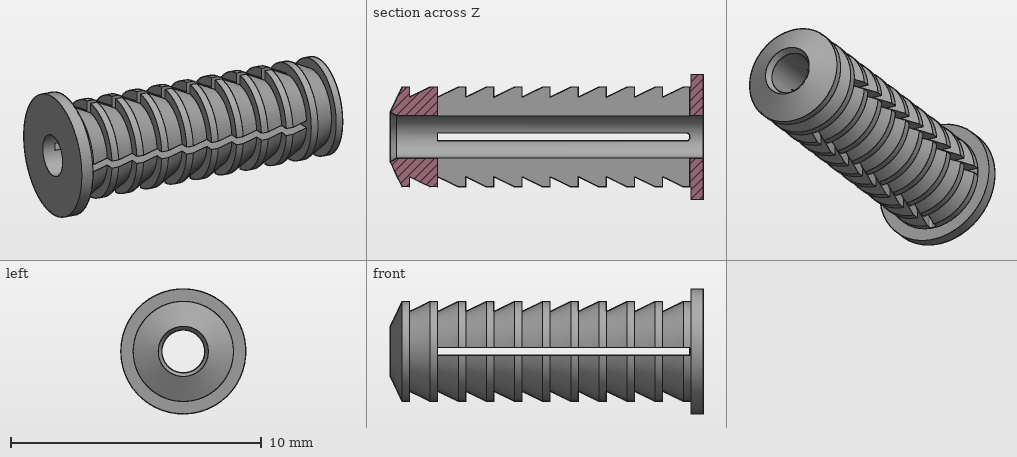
import cadquery as cq

length = 12.5
flange_radius = 2.5
flange_thickness = 0.5
barb_radius = 2.0

barb_count = 10
land_length = 0.3
root_radius = 1.6

nose_radius = 1.0
nose_cone_length = 0.48
bore_radius = 0.85
bore_chamfer_depth = 0.25

slot_width = 0.3
slot_end_gap = 0.05
slot_corner_radius = 0.1

nose_x = -length / 2
flange_end_x = length / 2
flange_x = flange_end_x - flange_thickness
nose_cone_end_x = nose_x + nose_cone_length
nose_land_end_x = nose_cone_end_x + land_length
barb_pitch = (flange_x - nose_land_end_x) / barb_count
slot_start_x = nose_land_end_x + barb_pitch
slot_end_x = flange_x - slot_end_gap


def revolve_about_x(points):
    """Turn a closed outline of (x, radius) points about the X axis."""
    return cq.Workplane("XY").polyline(points).close().revolve(360, (0, 0, 0), (1, 0, 0))


def make_body():
    """Nose cone, row of barbs and head flange as one turned solid."""
    outline = [
        (nose_x, 0),
        (nose_x, nose_radius),
        (nose_cone_end_x, barb_radius),
        (nose_land_end_x, barb_radius),
    ]
    for barb in range(barb_count):
        start_x = nose_land_end_x + barb * barb_pitch
        end_x = start_x + barb_pitch
        outline.append((start_x, root_radius))
        outline.append((end_x - land_length, barb_radius))
        outline.append((end_x, barb_radius))
    outline.append((flange_x, flange_radius))
    outline.append((flange_end_x, flange_radius))
    outline.append((flange_end_x, 0))
    return revolve_about_x(outline)


def make_bore():
    """Through bore with a chamfered mouth at the nose."""
    return revolve_about_x([
        (nose_x, 0),
        (nose_x, nose_radius),
        (nose_x + bore_chamfer_depth, bore_radius),
        (flange_end_x, bore_radius),
        (flange_end_x, 0),
    ])


def make_slot(width_y, width_z):
    """Slot running along the barbs, from the second land almost to the flange."""
    slot_length = slot_end_x - slot_start_x
    slot_center_x = (slot_start_x + slot_end_x) / 2
    return cq.Workplane("XY").box(slot_length, width_y, width_z).translate((slot_center_x, 0, 0))


slot_through_y = make_slot(2 * flange_radius, slot_width)
slot_through_z = make_slot(slot_width, 2 * flange_radius).edges("|Z and >X").fillet(slot_corner_radius)

result = make_body().cut(make_bore()).cut(slot_through_y).cut(slot_through_z)